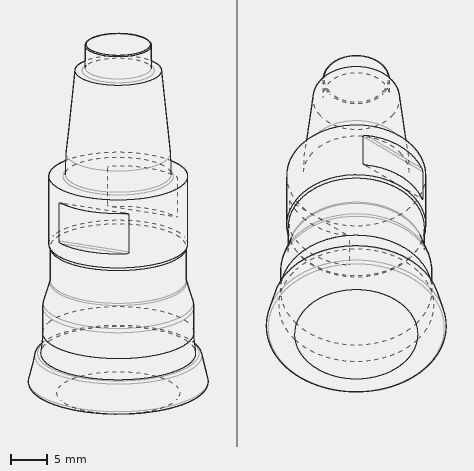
import cadquery as cq
import math

TOTAL_HEIGHT = 51.5
TAPER_TOP_Z = 47.65
TAPER_BOTTOM_Z = 35.45
COLLAR_TOP_Z = 32.05
COLLAR_BOTTOM_Z = 21.55
NECK_BOTTOM_Z = 16.55
BARREL_TOP_Z = 13.05
SPLIT_Z = 8.9
RIM_TOP_Z = 5.85
RIM_WIDEST_Z = 1.45

PILOT_RADIUS = 9.2 / 2
TAPER_TOP_RADIUS = 6.0
TAPER_BOTTOM_RADIUS = 7.25
TAPER_FOOT_RADIUS = 7.35
COLLAR_RADIUS = 19.3 / 2
NECK_RADIUS = 18.9 / 2
BARREL_RADIUS = 21.0 / 2

FLARE_RADIUS = 10.75
RIM_TOP_RADIUS = 11.55
RIM_RADIUS = 12.55
FACE_RADIUS = 8.55

PILOT_CHAMFER = 0.15
PILOT_FILLET = 0.4
TAPER_FILLET = 0.3
COLLAR_CHAMFER_HEIGHT = 0.45
NECK_BLEND = 1.05
BARREL_BLEND = 2.05
RIM_TOP_ROUND = 0.4
RIM_ROUND = 0.4

FLAT_DISTANCE = 8.05
FLAT_TOP_Z = 30.0
FLAT_BOTTOM_Z = 24.05
FLAT_FILLET = 0.25


def edges_at(body, radius, height):
    """Circular edges with the given radius and height."""
    tolerance = 0.005
    low = (-radius - tolerance, -radius - tolerance, height - tolerance)
    high = (radius + tolerance, radius + tolerance, height + tolerance)
    inner = radius - tolerance
    rings = body.edges(cq.selectors.BoxSelector(low, high, boundingbox=True)).edges("%CIRCLE")
    return rings.filter(lambda edge: edge.radius() > inner)


def wrench_flat_cutter():
    """Block that mills the -Y flat, rounded where its floor meets its end walls."""
    depth = COLLAR_RADIUS
    height = FLAT_TOP_Z - FLAT_BOTTOM_Z
    block = cq.Workplane("XY").box(2 * COLLAR_RADIUS, depth, height)
    block = block.faces(">Y").edges("|X").fillet(FLAT_FILLET)
    return block.translate((0, -FLAT_DISTANCE - depth / 2, (FLAT_TOP_Z + FLAT_BOTTOM_Z) / 2))


def make_shank():
    """Turned shank: pilot, taper, collar with two wrench flats, neck and barrel."""
    shank = (
        cq.Workplane("XZ")
        .moveTo(0, SPLIT_Z)
        .lineTo(BARREL_RADIUS, SPLIT_Z)
        .lineTo(BARREL_RADIUS, BARREL_TOP_Z)
        .lineTo(NECK_RADIUS, NECK_BOTTOM_Z)
        .lineTo(NECK_RADIUS, COLLAR_BOTTOM_Z)
        .lineTo(COLLAR_RADIUS, COLLAR_BOTTOM_Z + COLLAR_CHAMFER_HEIGHT)
        .lineTo(COLLAR_RADIUS, COLLAR_TOP_Z)
        .lineTo(TAPER_FOOT_RADIUS, COLLAR_TOP_Z)
        .lineTo(TAPER_BOTTOM_RADIUS, TAPER_BOTTOM_Z)
        .lineTo(TAPER_TOP_RADIUS, TAPER_TOP_Z)
        .lineTo(PILOT_RADIUS, TAPER_TOP_Z)
        .lineTo(PILOT_RADIUS, TOTAL_HEIGHT)
        .lineTo(0, TOTAL_HEIGHT)
        .close()
        .revolve(360, (0, 0, 0), (0, 1, 0))
    )
    shank = edges_at(shank, PILOT_RADIUS, TOTAL_HEIGHT).chamfer(PILOT_CHAMFER)
    shank = edges_at(shank, PILOT_RADIUS, TAPER_TOP_Z).fillet(PILOT_FILLET)
    shank = edges_at(shank, TAPER_FOOT_RADIUS, COLLAR_TOP_Z).fillet(TAPER_FILLET)
    shank = edges_at(shank, NECK_RADIUS, NECK_BOTTOM_Z).fillet(NECK_BLEND)
    shank = edges_at(shank, BARREL_RADIUS, BARREL_TOP_Z).fillet(BARREL_BLEND)

    cutter = wrench_flat_cutter()
    return shank.cut(cutter).cut(cutter.mirror("XZ"))


def make_head():
    """Flared head with a rounded conical rim and a shallow conical underside."""
    flare_width = FLARE_RADIUS - BARREL_RADIUS
    flare_height = SPLIT_Z - RIM_TOP_Z
    arc_radius = (flare_width**2 + flare_height**2) / (2 * flare_width)
    half_angle = math.asin(flare_height / arc_radius) / 2
    flare_middle = (
        BARREL_RADIUS + arc_radius * (1 - math.cos(half_angle)),
        SPLIT_Z - arc_radius * math.sin(half_angle),
    )
    head = (
        cq.Workplane("XZ")
        .lineTo(FACE_RADIUS, 0)
        .lineTo(RIM_RADIUS, RIM_WIDEST_Z)
        .lineTo(RIM_TOP_RADIUS, RIM_TOP_Z)
        .lineTo(FLARE_RADIUS, RIM_TOP_Z)
        .threePointArc(flare_middle, (BARREL_RADIUS, SPLIT_Z))
        .lineTo(0, SPLIT_Z)
        .close()
        .revolve(360, (0, 0, 0), (0, 1, 0))
    )
    head = edges_at(head, RIM_TOP_RADIUS, RIM_TOP_Z).fillet(RIM_TOP_ROUND)
    return edges_at(head, RIM_RADIUS, RIM_WIDEST_Z).fillet(RIM_ROUND)


shank = make_shank()
head = make_head()
result = cq.Compound.makeCompound([shank.val(), head.val()])